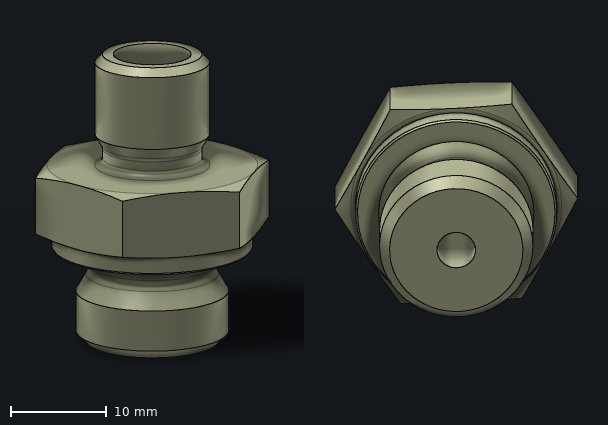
import cadquery as cq
import math

total_height = 31.0
seal_face_z = 10.0
hex_bottom_z = 12.0
hex_top_z = 19.0

stud_radius = 8.0
stud_chamfer = 1.05
stud_thread_top_z = 5.4
stud_neck_radius = 6.8
stud_neck_end_radius = 6.95
stud_neck_bottom_z = 7.2
stud_neck_top_z = 8.4
stud_runout_radius = 8.1

collar_radius = 10.5
collar_chamfer = 0.2

hex_across_flats = 22.0
hex_chamfer_angle = 15.0

tube_stud_radius = 6.0
tube_chamfer_width = 0.8
tube_chamfer_height = 0.85
tube_neck_radius = 5.2
tube_neck_fillet = 0.8
tube_neck_top_z = 20.77
tube_runout_angle = 30.0

bore_radius = 2.0
socket_radius = 3.0
socket_depth = 7.0
cone_mouth_radius = 4.05
cone_half_angle = 12.0


def turned_body():
    """Studs and collar, revolved about Z."""
    fillet_mid = tube_neck_fillet * (1 - math.sqrt(0.5))
    runout_angle = math.radians(tube_runout_angle)
    runout_start_radius = tube_neck_radius + tube_neck_fillet * (1 - math.cos(runout_angle))
    runout_start_z = tube_neck_top_z + tube_neck_fillet * math.sin(runout_angle)
    tube_thread_bottom_z = runout_start_z + (tube_stud_radius - runout_start_radius) / math.tan(runout_angle)
    profile = (
        cq.Workplane("XZ")
        .lineTo(stud_radius - stud_chamfer, 0)
        .lineTo(stud_radius, stud_chamfer)
        .lineTo(stud_radius, stud_thread_top_z)
        .lineTo(stud_neck_end_radius, stud_neck_bottom_z)
        .threePointArc(
            (stud_neck_radius, (stud_neck_bottom_z + stud_neck_top_z) / 2),
            (stud_neck_end_radius, stud_neck_top_z),
        )
        .lineTo(stud_runout_radius, seal_face_z)
        .lineTo(collar_radius - collar_chamfer, seal_face_z)
        .lineTo(collar_radius, seal_face_z + collar_chamfer)
        .lineTo(collar_radius, hex_top_z)
        .lineTo(tube_neck_radius + tube_neck_fillet, hex_top_z)
        .threePointArc(
            (tube_neck_radius + fillet_mid, hex_top_z + fillet_mid),
            (tube_neck_radius, hex_top_z + tube_neck_fillet),
        )
        .lineTo(tube_neck_radius, tube_neck_top_z)
        .tangentArcPoint((runout_start_radius, runout_start_z), relative=False)
        .lineTo(tube_stud_radius, tube_thread_bottom_z)
        .lineTo(tube_stud_radius, total_height - tube_chamfer_height)
        .lineTo(tube_stud_radius - tube_chamfer_width, total_height)
        .lineTo(0, total_height)
        .close()
    )
    return profile.revolve(360, (0, 0, 0), (0, 1, 0))


def hexagon():
    """Hexagon with flats facing +X and -X, its corners chamfered at both ends."""
    corner_radius = hex_across_flats / 2 / math.cos(math.radians(30))
    flat_radius = hex_across_flats / 2
    corner_drop = (corner_radius - flat_radius) * math.tan(math.radians(hex_chamfer_angle))
    prism = (
        cq.Workplane("XY", origin=(0, 0, hex_bottom_z))
        .polygon(6, 2 * corner_radius)
        .extrude(hex_top_z - hex_bottom_z)
        .rotate((0, 0, 0), (0, 0, 1), 30)
    )
    chamfer_envelope = (
        cq.Workplane("XZ")
        .moveTo(0, hex_bottom_z)
        .lineTo(flat_radius, hex_bottom_z)
        .lineTo(corner_radius, hex_bottom_z + corner_drop)
        .lineTo(corner_radius, hex_top_z - corner_drop)
        .lineTo(flat_radius, hex_top_z)
        .lineTo(0, hex_top_z)
        .close()
        .revolve(360, (0, 0, 0), (0, 1, 0))
    )
    return prism.intersect(chamfer_envelope)


def bore():
    """Through hole opening into the tube socket and its sealing cone."""
    cone_depth = (cone_mouth_radius - socket_radius) / math.tan(math.radians(cone_half_angle))
    socket_floor_z = total_height - socket_depth
    return (
        cq.Workplane("XZ")
        .lineTo(bore_radius, 0)
        .lineTo(bore_radius, socket_floor_z)
        .lineTo(socket_radius, socket_floor_z)
        .lineTo(socket_radius, total_height - cone_depth)
        .lineTo(cone_mouth_radius, total_height)
        .lineTo(0, total_height)
        .close()
        .revolve(360, (0, 0, 0), (0, 1, 0))
    )


result = turned_body().union(hexagon()).cut(bore())